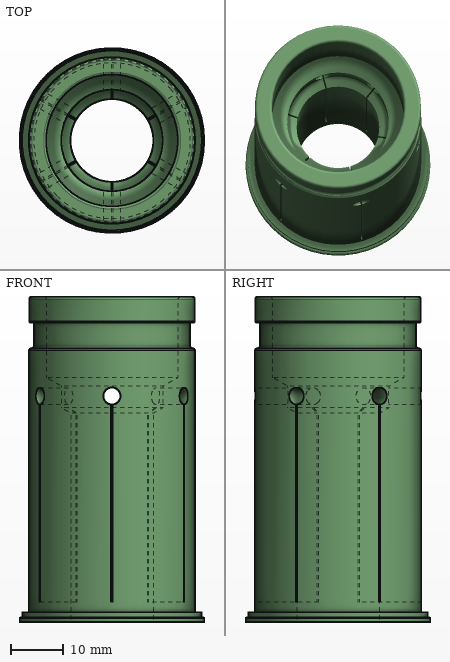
import cadquery as cq
import math

height = 62.5
flange_lip_top = 0.95
flange_top = 1.95
slot_bottom = 3.95
hole_z = 43.45
groove_bottom = 52.6
groove_top = 57.5

flange_lip_radius = 35.5 / 2
flange_radius = 34.5 / 2
body_radius = 32.0 / 2
band_radius = 31.9 / 2
groove_radius = 30.0 / 2

lip_chamfer = 0.2
body_chamfer = 0.4
band_bottom_chamfer = 0.25
rim_round = 0.5
groove_fillet = 0.5

mouth_radius = 25.3 / 2
middle_radius = 19.5 / 2
clamp_radius = 15.9 / 2
upper_cone_top = 47.05
upper_cone_bottom = 45.4
lower_cone_top = 41.25
lower_cone_bottom = 40.2

hole_count = 6
hole_diameter = 3.25
slot_width = 0.3


def make_sleeve():
    """Revolve the wall section, drawn in XZ, about the Z axis."""
    fillet_diagonal = groove_fillet * math.sqrt(0.5)
    rim_round_diagonal = rim_round * math.sqrt(0.5)
    rim_round_z = height - rim_round
    fillet_center_x = groove_radius + groove_fillet
    fillet_center_z = groove_bottom + groove_fillet
    section = (
        cq.Workplane("XZ")
        .moveTo(clamp_radius, 0)
        .lineTo(flange_lip_radius, 0)
        .lineTo(flange_lip_radius, flange_lip_top - lip_chamfer)
        .lineTo(flange_lip_radius - lip_chamfer, flange_lip_top)
        .lineTo(flange_radius, flange_lip_top)
        .lineTo(flange_radius, flange_top)
        .lineTo(body_radius, flange_top)
        .lineTo(body_radius, groove_bottom - body_chamfer)
        .lineTo(body_radius - body_chamfer, groove_bottom)
        .lineTo(fillet_center_x, groove_bottom)
        .threePointArc(
            (fillet_center_x - fillet_diagonal, fillet_center_z - fillet_diagonal),
            (groove_radius, fillet_center_z),
        )
        .lineTo(groove_radius, groove_top)
        .lineTo(band_radius - band_bottom_chamfer, groove_top)
        .lineTo(band_radius, groove_top + band_bottom_chamfer)
        .lineTo(band_radius, rim_round_z)
        .threePointArc(
            (band_radius - rim_round + rim_round_diagonal, rim_round_z + rim_round_diagonal),
            (band_radius - rim_round, height),
        )
        .lineTo(mouth_radius + rim_round, height)
        .threePointArc(
            (mouth_radius + rim_round - rim_round_diagonal, rim_round_z + rim_round_diagonal),
            (mouth_radius, rim_round_z),
        )
        .lineTo(mouth_radius, upper_cone_top)
        .lineTo(middle_radius, upper_cone_bottom)
        .lineTo(middle_radius, lower_cone_top)
        .lineTo(clamp_radius, lower_cone_bottom)
        .close()
    )
    return section.revolve(360, (0, 0, 0), (0, 1, 0))


def make_slotted_hole(angle):
    """Radial hole and the slot below it, turned from the -Y side by angle degrees."""
    reach = flange_lip_radius
    hole = cq.Workplane("XZ", origin=(0, 0, hole_z)).circle(hole_diameter / 2).extrude(reach)
    slot = cq.Workplane("XY").box(
        slot_width, reach, hole_z - slot_bottom, centered=(True, False, False)
    ).translate((0, -reach, slot_bottom))
    return hole.union(slot).rotate((0, 0, 0), (0, 0, 1), angle)


result = make_sleeve()
for index in range(hole_count):
    result = result.cut(make_slotted_hole(index * 360 / hole_count))